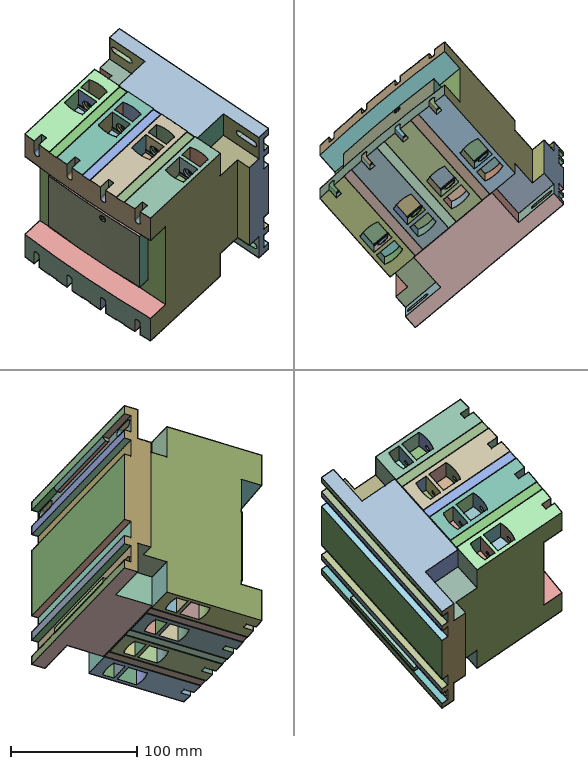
import cadquery as cq


plate_size = 155.0
plate_thickness = 12.0
flange_depth = 23.7
base_depth = 44.7
base_core_width = 81.5

height = 158
depth = 132.0
body_width = 130.5
body_depth = 111.7
step_z = 50.1
front_crown = 1.9

panel_width = 94.5
panel_height = 65.5
panel_depth = 123.2
panel_crown = front_crown * (panel_width / body_width) ** 2

screw_x = 9.6
screw_z = 25.5
screw_diameter = 6.0
screw_sink = 0.3
driver_slot_width = 2.2
driver_slot_depth = 1.9

pole_count = 4
pole_pitch = 34.9
groove_width = 7.9
groove_depth = 0.6
pocket_width = 18.6
pocket_back = 54.0
pocket_front = 86.9
pocket_bulge = 1.5
pocket_depth = 22.1
bar_back = 65.4
bar_front = 68.4
access_slot_width = 5.2
access_slot_floor = 121.8
access_z = 64.8
access_hole_diameter = 4.7
clamp_recess_diameter = 10.5
clamp_recess_depth = 1.9
clamp_hole_diameter = 3.8
ledge_height = 3.2
ledge_width = 0.6

mount_slot_x = 64.8
mount_slot_z = 65.4
mount_slot_length = 21.2
mount_slot_width = 6.5

back_groove_depth = 5.8
back_groove_width = 15.3
outer_groove_z = 62.1
inner_groove_z = 38.9
hook_height = 3.2
hook_chamfer = 2.8
stop_height = 5.0
stop_gap = 0.6

pole_positions = [(i - (pole_count - 1) / 2) * pole_pitch for i in range(pole_count)]
groove_positions = [x + pole_pitch / 2 for x in pole_positions[:-1]]
signs = (-1, 1)


def block(width, y_back, y_front, z_low, z_high, x=0):
    """Box centred on x, between two distances from the back face and two heights."""
    size_y = y_front - y_back
    size_z = z_high - z_low
    middle = (x, -(y_back + y_front) / 2, (z_low + z_high) / 2)
    return cq.Workplane("XY").box(width, size_y, size_z).translate(middle)


def crowned_block(width, y_back, y_front, crown, z_low, z_high):
    """Block whose front face bulges outward as an arc across its width."""
    half = width / 2
    return (
        cq.Workplane("XY", origin=(0, 0, z_low))
        .moveTo(-half, -y_back)
        .lineTo(-half, crown - y_front)
        .threePointArc((0, -y_front), (half, crown - y_front))
        .lineTo(half, -y_back)
        .close()
        .extrude(z_high - z_low)
    )


def front_plane(y_front, x, z):
    """Sketch plane facing the front; positive extrusion runs toward -Y."""
    return cq.Workplane("XZ", origin=(x, -y_front, z))


def mirrored_in_z(solid):
    return solid.union(solid.mirror("XY"))


def housing():
    half_plate = plate_size / 2
    solid = block(plate_size, 0, plate_thickness, -half_plate, half_plate)
    solid = solid.union(block(plate_size, 0, flange_depth, -step_z, step_z))
    solid = solid.union(block(base_core_width, 0, base_depth, -half_plate, half_plate))
    solid = solid.union(block(body_width, 0, body_depth, -step_z, step_z))
    terminal_block = crowned_block(body_width, base_depth, depth, front_crown, step_z, height / 2)
    rear_fill = block(body_width, base_depth, body_depth, 0, height / 2)
    solid = solid.union(mirrored_in_z(terminal_block.union(rear_fill)))
    half_panel = panel_height / 2
    panel = crowned_block(panel_width, flange_depth, panel_depth, panel_crown, -half_panel, half_panel)
    return solid.union(panel)


def panel_screw_cut():
    """Clearance above the sunk screw head, with the driver slot running across it."""
    radius = screw_diameter / 2
    head_level = panel_depth - screw_sink
    slot_floor = head_level - driver_slot_depth
    clearance = front_plane(head_level, screw_x, screw_z).circle(radius).extrude(screw_sink)
    head = front_plane(slot_floor, screw_x, screw_z).circle(radius).extrude(driver_slot_depth)
    strip = block(
        driver_slot_width, slot_floor, head_level, screw_z - radius, screw_z + radius, screw_x
    )
    return clearance.union(head.intersect(strip))


def pocket_cut(x):
    """Two conductor pockets with bowed outer ends, parted by a bar with a ledge at its foot."""
    left = x - pocket_width / 2
    right = x + pocket_width / 2
    outline = (
        cq.Workplane("XY", origin=(0, 0, height / 2 - pocket_depth))
        .moveTo(left, -pocket_back - pocket_bulge)
        .threePointArc((x, -pocket_back), (right, -pocket_back - pocket_bulge))
        .lineTo(right, pocket_bulge - pocket_front)
        .threePointArc((x, -pocket_front), (left, pocket_bulge - pocket_front))
        .close()
        .extrude(pocket_depth)
    )
    floor = height / 2 - pocket_depth
    bar = block(pocket_width, bar_back, bar_front, floor, height / 2, x)
    ledge = block(pocket_width, bar_front, bar_front + ledge_width, floor, floor + ledge_height, x)
    return outline.cut(bar).cut(ledge)


def screw_access_cut(x):
    """Open-ended slot in the front face with a stepped screw hole running back through the bar."""
    recess_floor = bar_front - clamp_recess_depth
    bores = [
        (access_slot_width, access_slot_floor, depth),
        (access_hole_diameter, bar_front, access_slot_floor),
        (clamp_recess_diameter, recess_floor, bar_front),
        (clamp_hole_diameter, bar_back, recess_floor),
    ]
    cut = block(access_slot_width, access_slot_floor, depth, access_z, height / 2, x)
    for diameter, y_back, y_front in bores:
        cut = cut.union(front_plane(y_back, x, access_z).circle(diameter / 2).extrude(y_front - y_back))
    return cut


def terminal_cuts():
    cuts = cq.Workplane("XY")
    for x in pole_positions:
        cuts = cuts.add(pocket_cut(x).union(screw_access_cut(x)))
    for x in groove_positions:
        cuts = cuts.add(block(groove_width, base_depth, depth, height / 2 - groove_depth, height / 2, x))
    return mirrored_in_z(cuts.combine())


def mounting_slot_cuts():
    centres = [(i * mount_slot_x, j * mount_slot_z) for i in signs for j in signs]
    return (
        front_plane(0, 0, 0)
        .pushPoints(centres)
        .slot2D(mount_slot_length, mount_slot_width)
        .extrude(plate_thickness)
    )


def back_groove_cuts():
    half = back_groove_width / 2
    cuts = cq.Workplane("XY")
    for z in (outer_groove_z, inner_groove_z):
        cuts = cuts.add(block(plate_size, 0, back_groove_depth, z - half, z + half))
    return mirrored_in_z(cuts.combine())


def rail_hook():
    """Lip at the top of the upper groove, chamfered along its rear lower edge."""
    top = outer_groove_z + back_groove_width / 2
    lip = block(base_core_width, 0, back_groove_depth, top - hook_height, top)
    return lip.edges(">Y and <Z").chamfer(hook_chamfer)


def rail_stop():
    """Plain lip at the bottom of the lower groove."""
    bottom = -outer_groove_z - back_groove_width / 2
    return block(base_core_width, stop_gap, back_groove_depth, bottom, bottom + stop_height)


result = (
    housing()
    .cut(panel_screw_cut())
    .cut(terminal_cuts())
    .cut(mounting_slot_cuts())
    .cut(back_groove_cuts())
    .union(rail_hook())
    .union(rail_stop())
)